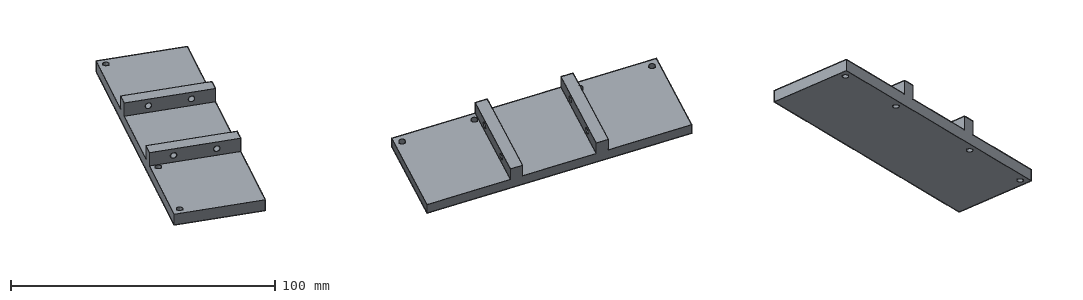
import cadquery as cq

plate_length = 108.0
plate_width = 36.0
plate_thickness = 5.0

total_height = 11.0
rail_height = total_height - plate_thickness
rail_thickness = 5.0
rail_pitch = 35.0

hole_diameter = 2.5
plate_hole_edge_offset = 3.0
inner_hole_spacing = 43.0
rail_hole_spacing = 17.0
rail_hole_height = 8.0


def make_plate():
    """Plate centred on X and Y, with its underside at Z = 0."""
    return cq.Workplane("XY").box(
        plate_length, plate_width, plate_thickness, centered=(True, True, False)
    )


def make_rails():
    """Two full-width rails standing on the plate."""
    return (
        cq.Workplane("XY")
        .workplane(offset=plate_thickness)
        .pushPoints([(-rail_pitch / 2, 0), (rail_pitch / 2, 0)])
        .rect(rail_thickness, plate_width)
        .extrude(rail_height)
    )


def make_plate_holes():
    """Row of vertical through holes along the -Y edge."""
    outer_x = plate_length / 2 - plate_hole_edge_offset
    inner_x = inner_hole_spacing / 2
    row_y = -plate_width / 2 + plate_hole_edge_offset
    points = [(x, row_y) for x in (-outer_x, -inner_x, inner_x, outer_x)]
    return (
        cq.Workplane("XY")
        .pushPoints(points)
        .circle(hole_diameter / 2)
        .extrude(plate_thickness)
    )


def make_rail_holes():
    """Two holes along X, passing through both rails."""
    half_spacing = rail_hole_spacing / 2
    return (
        cq.Workplane("YZ")
        .pushPoints([(-half_spacing, rail_hole_height), (half_spacing, rail_hole_height)])
        .circle(hole_diameter / 2)
        .extrude(plate_length / 2, both=True)
    )


result = make_plate().union(make_rails()).cut(make_plate_holes()).cut(make_rail_holes())